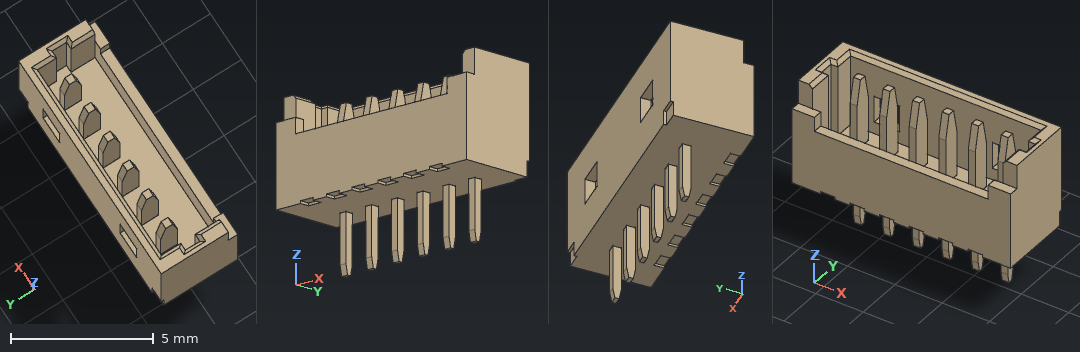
import cadquery as cq

LENGTH = 9.25
DEPTH = 3.2
HEIGHT = 4.2
OVERALL_HEIGHT = 6.5

WALL = 0.4
END_WALL = 0.6
FLOOR = 1.1
RIM_CHAMFER = 0.15
KEYWAY_DEPTH = 0.3
KEYWAY_FRONT = 1.4
KEYWAY_BACK = 2.0

FRONT_HEIGHT = 3.2
NOTCH_HEIGHT = 2.6
NOTCH_END = 0.95

WINDOW_BOTTOM = 1.6
WINDOW_TOP = 2.7
WINDOW_WIDTH = 1.07

CORNER_DEPTH = 0.11
CORNER_HEIGHT = 0.6
CORNER_LENGTH = END_WALL

PIN_COUNT = 6
PITCH = 1.25
PIN_WIDTH = 0.3
PIN_Y = 2.0
BLADE_DEPTH = 0.7
BLADE_TIP_DEPTH = 0.29
BLADE_TAPER_START = 3.0
BLADE_TOP = 4.0
TAIL_DEPTH = 0.33
TAIL_TIP_DEPTH = 0.17
TAIL_TAPER_START = -1.9
TAIL_BOTTOM = HEIGHT - OVERALL_HEIGHT

RELIEF_WIDTH = 0.6
RELIEF_HEIGHT = 0.1
RELIEF_LENGTH = WALL

CAVITY_HALF = LENGTH / 2 - END_WALL
CAVITY_BACK = DEPTH - WALL
PIN_XS = [PITCH * (i - (PIN_COUNT - 1) / 2) for i in range(PIN_COUNT)]
WINDOW_X = (PIN_XS[-1] + PIN_XS[-2]) / 2


def block(x0, x1, y0, y1, z0, z1):
    """Axis-aligned box between two opposite corners."""
    return cq.Workplane("XY").box(x1 - x0, y1 - y0, z1 - z0, centered=False).translate((x0, y0, z0))


def centred_block(x, width, y0, y1, z0, z1):
    """Axis-aligned box centred on x."""
    return block(x - width / 2, x + width / 2, y0, y1, z0, z1)


def flare(width, y0, y1):
    """Chamfered mouth that widens a rectangular opening towards the rim."""
    return (
        cq.Workplane("XY", origin=(0, (y0 + y1) / 2, HEIGHT))
        .rect(width + 2 * RIM_CHAMFER, y1 - y0 + 2 * RIM_CHAMFER)
        .workplane(offset=-RIM_CHAMFER)
        .rect(width, y1 - y0)
        .loft(ruled=True)
    )


def cavity():
    """Mating cavity with a keyway in each end wall and a flared rim behind the front wall."""
    keyway_half = CAVITY_HALF + KEYWAY_DEPTH
    width = 2 * CAVITY_HALF
    key_width = 2 * keyway_half
    pocket = centred_block(0, width, WALL, CAVITY_BACK, FLOOR, HEIGHT)
    keyways = centred_block(0, key_width, KEYWAY_FRONT, KEYWAY_BACK, FLOOR, HEIGHT)
    return pocket.union(keyways).union(flare(width, 0, CAVITY_BACK)).union(
        flare(key_width, KEYWAY_FRONT, KEYWAY_BACK)
    )


def front_opening():
    """Lowered front wall: a full-length step and a deeper notch between its ends."""
    step = centred_block(0, LENGTH, 0, WALL, FRONT_HEIGHT, HEIGHT)
    notch = centred_block(0, LENGTH - 2 * NOTCH_END, 0, WALL, NOTCH_HEIGHT, HEIGHT)
    return step.union(notch)


def pin(x):
    """Flat terminal: broad tapered blade above the floor, slim pointed tail below."""
    half_outline = [
        (TAIL_TIP_DEPTH / 2, TAIL_BOTTOM),
        (TAIL_DEPTH / 2, TAIL_TAPER_START),
        (TAIL_DEPTH / 2, FLOOR),
        (BLADE_DEPTH / 2, FLOOR),
        (BLADE_DEPTH / 2, BLADE_TAPER_START),
        (BLADE_TIP_DEPTH / 2, BLADE_TOP),
    ]
    mirrored = [(-y, z) for y, z in reversed(half_outline)]
    return (
        cq.Workplane("YZ", origin=(x, PIN_Y, 0))
        .polyline(half_outline + mirrored)
        .close()
        .extrude(PIN_WIDTH / 2, both=True)
    )


def back_windows():
    """Windows through the back wall, each between the two outermost pins of one end."""
    windows = cq.Workplane("XY")
    for x in (-WINDOW_X, WINDOW_X):
        windows = windows.add(
            centred_block(x, WINDOW_WIDTH, CAVITY_BACK, DEPTH, WINDOW_BOTTOM, WINDOW_TOP)
        )
    return windows.combine()


def corner_recesses():
    """Shallow recesses at the two lower back corners."""
    recesses = cq.Workplane("XY")
    centre = (LENGTH - CORNER_LENGTH) / 2
    for x in (-centre, centre):
        recesses = recesses.add(
            centred_block(x, CORNER_LENGTH, DEPTH - CORNER_DEPTH, DEPTH, 0, CORNER_HEIGHT)
        )
    return recesses.combine()


def relief_slot(x):
    """Slot in the underside, open at the front face."""
    return centred_block(x, RELIEF_WIDTH, 0, RELIEF_LENGTH, 0, RELIEF_HEIGHT)


def make_housing(terminals):
    """Open-topped shroud with a matching hole through the floor for each terminal."""
    body = centred_block(0, LENGTH, 0, DEPTH, 0, HEIGHT)
    body = body.cut(cavity()).cut(front_opening())
    body = body.cut(back_windows()).cut(corner_recesses())
    for x in PIN_XS:
        body = body.cut(relief_slot(x))
    for terminal in terminals:
        body = body.cut(terminal)
    return body


pins = [pin(x) for x in PIN_XS]
housing = make_housing(pins)

result = cq.Compound.makeCompound([housing.val(), *[terminal.val() for terminal in pins]])